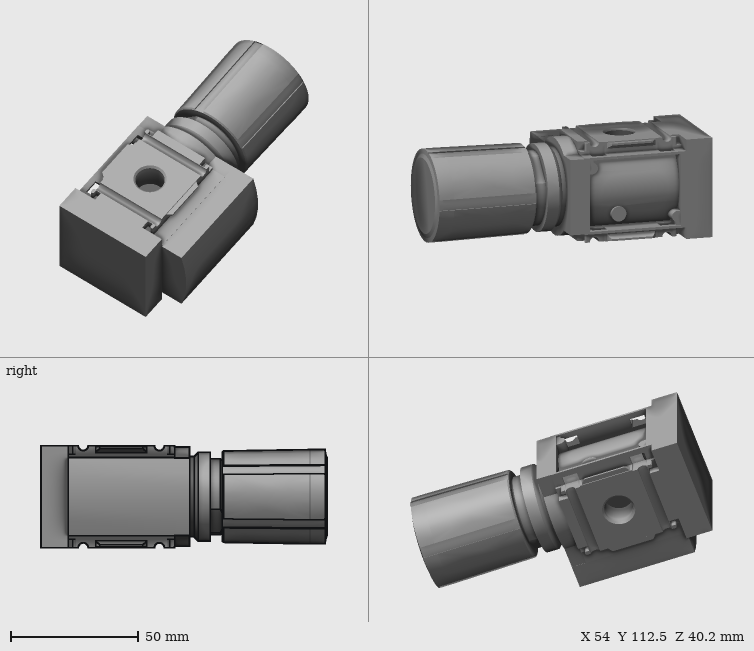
import cadquery as cq


LENGTH = 112.5
HEIGHT = 40.2
WIDTH = 54.0
HOUSING_WIDTH = 42.1
TOP_Y = 80.9
BOTTOM_Y = TOP_Y - LENGTH
HALF_HEIGHT = HEIGHT / 2
SIDE_X = HOUSING_WIDTH / 2

BODY_HALF_Y = 20.9
FLANGE_TOP_Y = 26.9
FLANGE_HALF_Z = 15.2
FLANGE_DRUM_R = 19.6
PLATE_HALF_Z = 15.4
WINDOW_HALF_Y = 18.8
WINDOW_HALF_Z = 14.4
CORE_R = 18.3

BOSS_R = 3.0
BOSS_Y = 6.0
BOSS_Z = -8.7
BOSS_FACE_X = -18.2
CORNER_BOSS_R = 2.3
CORNER_BOSS_Y = 17.5
CORNER_BOSS_Z = 10.9
CORNER_BOSS_FACE_X = -20.3
CORNER_WEB_Y = 17.1

PAD_HALF_X = 15.2
GROOVE_Y = 15.0
GROOVE_R = 1.9
PORT_D = 11.5
PORT_MOUTH_D = 13.0
PORT_DEPTH = 11.3
NOTCH_FLOOR_Z = 16.8
NOTCH_WIDTH = 3.7
NOTCH_START_Y = 17.1
POST_WIDTH = 1.5
POST_END_Y = 19.0
WING_REACH = 2.0
WING_ROOT_HALF_Y = 10.0
WING_TIP_HALF_Y = 8.4
WING_ROOT_Z = 17.3
WING_BEND_Z = 18.0
WING_TIP_Z = 18.9
WING_TOP_Z = 19.7
WING_BEND_REACH = 0.7
SLOT_OUTER_X = -18.6
SLOT_INNER_X = -14.7
SLOT_NEAR_Y = 10.9
SLOT_FAR_Y = 17.1

COVER_HALF_Z = 15.3
COVER_EDGE_X = 30.6
COVER_CROWN_X = WIDTH - SIDE_X

COLLAR_R = 35.0 / 2
COLLAR_TOP_Y = 35.0
COLLAR_BOTTOM_Y = 30.3
LOWER_NECK_R = 31.6 / 2
LOWER_NECK_TOP_Y = 28.6
UPPER_NECK_R = 15.0
UPPER_NECK_CHAMFER = 0.8
WRENCH_FLAT_DISTANCE = 13.5
WRENCH_FLAT_ANGLE = 45.0

KNOB_BOTTOM_Y = 39.7
KNOB_BAND_Y = 74.0
KNOB_RIM_Y = 80.1
KNOB_RIM_STEP_Y = 80.3
KNOB_R = 18.6
KNOB_BOTTOM_R = 18.0
KNOB_RIM_STEP_R = 16.7
KNOB_FACE_R = 15.1
KNOB_CHAMFER = 0.6
FLUTE_COUNT = 5
FLUTE_WIDTH = 4.4
FLUTE_DEPTH = 0.6


def box(x0, x1, y0, y1, z0, z1):
    """Block between two opposite corners."""
    return cq.Workplane("XY").box(x1 - x0, y1 - y0, z1 - z0, centered=False).translate((x0, y0, z0))


def cylinder_y(radius, y0, y1):
    """Cylinder on the knob axis."""
    return cq.Workplane("XZ", origin=(0, y1, 0)).circle(radius).extrude(y1 - y0)


def revolve_y(profile):
    """Solid of revolution about the knob axis from (radius, y) points."""
    return cq.Workplane("XY").polyline(profile).close().revolve(360, (0, 0, 0), (0, 1, 0))


def make_frame():
    """End cap, body section and flange, with the drum that fills the flange's rounded sides."""
    cap = box(-SIDE_X, SIDE_X, BOTTOM_Y, -BODY_HALF_Y, -HALF_HEIGHT, HALF_HEIGHT)
    section = box(-SIDE_X, SIDE_X, -BODY_HALF_Y, BODY_HALF_Y, -PLATE_HALF_Z, PLATE_HALF_Z)
    flange = box(-SIDE_X, SIDE_X, BODY_HALF_Y, FLANGE_TOP_Y, -FLANGE_HALF_Z, FLANGE_HALF_Z)
    drum = cylinder_y(FLANGE_DRUM_R, BODY_HALF_Y, FLANGE_TOP_Y)
    return cap.union(section).union(flange).union(drum)


def make_window_cut():
    """Space between the side window and the cylindrical core behind it."""
    pocket = box(-SIDE_X, 0, -WINDOW_HALF_Y, WINDOW_HALF_Y, -WINDOW_HALF_Z, WINDOW_HALF_Z)
    return pocket.cut(cylinder_y(CORE_R, -WINDOW_HALF_Y, WINDOW_HALF_Y))


def make_corner_boss():
    """Rounded boss joined to the window's end wall, with a web up to the window's top wall."""
    length = -CORNER_BOSS_FACE_X
    round_end = (
        cq.Workplane("YZ", origin=(CORNER_BOSS_FACE_X, CORNER_BOSS_Y, CORNER_BOSS_Z))
        .circle(CORNER_BOSS_R).extrude(length)
    )
    root = box(CORNER_BOSS_FACE_X, 0, CORNER_BOSS_Y, WINDOW_HALF_Y,
               CORNER_BOSS_Z - CORNER_BOSS_R, WINDOW_HALF_Z)
    web = box(CORNER_BOSS_FACE_X, 0, CORNER_WEB_Y, WINDOW_HALF_Y, CORNER_BOSS_Z, WINDOW_HALF_Z)
    window = box(-SIDE_X, 0, -WINDOW_HALF_Y, WINDOW_HALF_Y, -WINDOW_HALF_Z, WINDOW_HALF_Z)
    return round_end.union(root).union(web).intersect(window)


def make_window_bosses():
    """One free-standing round boss and two corner bosses placed diagonally."""
    round_boss = (
        cq.Workplane("YZ", origin=(BOSS_FACE_X, BOSS_Y, BOSS_Z))
        .circle(BOSS_R).extrude(-BOSS_FACE_X)
    )
    corner_boss = make_corner_boss()
    opposite_boss = corner_boss.rotate((0, 0, 0), (1, 0, 0), 180)
    return round_boss.union(corner_boss).union(opposite_boss)


def make_corner_notch():
    """Notch at the (+X, +Y) pad corner, leaving a round-ended post along the pad's side."""
    notch = box(PAD_HALF_X - NOTCH_WIDTH, PAD_HALF_X, NOTCH_START_Y, BODY_HALF_Y,
                NOTCH_FLOOR_Z, HALF_HEIGHT)
    post_r = POST_WIDTH / 2
    post_x = PAD_HALF_X - post_r
    post = box(PAD_HALF_X - POST_WIDTH, PAD_HALF_X, NOTCH_START_Y, POST_END_Y - post_r,
               NOTCH_FLOOR_Z, HALF_HEIGHT)
    tip = (
        cq.Workplane("XY", origin=(post_x, POST_END_Y - post_r, NOTCH_FLOOR_Z))
        .circle(post_r).extrude(HALF_HEIGHT - NOTCH_FLOOR_Z)
    )
    return notch.cut(post).cut(tip)


def make_wing():
    """Tapered lip on the pad's +X side, undercut below and bevelled at both ends."""
    tip_x = PAD_HALF_X + WING_REACH
    section = (
        cq.Workplane("XZ", origin=(0, WING_ROOT_HALF_Y, 0))
        .polyline([
            (0, WING_ROOT_Z),
            (PAD_HALF_X, WING_ROOT_Z),
            (PAD_HALF_X + WING_BEND_REACH, WING_BEND_Z),
            (tip_x, WING_TIP_Z),
            (tip_x, WING_TOP_Z),
            (0, WING_TOP_Z),
        ]).close().extrude(2 * WING_ROOT_HALF_Y)
    )
    plan = (
        cq.Workplane("XY")
        .polyline([
            (0, -WING_ROOT_HALF_Y),
            (PAD_HALF_X, -WING_ROOT_HALF_Y),
            (tip_x, -WING_TIP_HALF_Y),
            (tip_x, WING_TIP_HALF_Y),
            (PAD_HALF_X, WING_ROOT_HALF_Y),
            (0, WING_ROOT_HALF_Y),
        ]).close().extrude(HALF_HEIGHT)
    )
    return section.intersect(plan)


def make_pad():
    """Raised pad on the +Z side with wings, two round grooves and four corner notches."""
    pad = box(-PAD_HALF_X, PAD_HALF_X, -BODY_HALF_Y, BODY_HALF_Y, WINDOW_HALF_Z, HALF_HEIGHT)
    wing = make_wing()
    pad = pad.union(wing).union(wing.mirror("YZ"))
    for groove_y in (-GROOVE_Y, GROOVE_Y):
        groove = (
            cq.Workplane("YZ", origin=(-PAD_HALF_X, groove_y, HALF_HEIGHT))
            .circle(GROOVE_R).extrude(2 * PAD_HALF_X)
        )
        pad = pad.cut(groove)
    notch_pair = make_corner_notch()
    notch_pair = notch_pair.union(notch_pair.mirror("YZ"))
    return pad.cut(notch_pair).cut(notch_pair.mirror("XZ"))


def make_port():
    """Blind port bore from the +Z pad with a 45 degree countersink."""
    mouth_depth = (PORT_MOUTH_D - PORT_D) / 2
    return (
        cq.Workplane("XZ")
        .polyline([
            (0, HALF_HEIGHT),
            (PORT_MOUTH_D / 2, HALF_HEIGHT),
            (PORT_D / 2, HALF_HEIGHT - mouth_depth),
            (PORT_D / 2, HALF_HEIGHT - PORT_DEPTH),
            (0, HALF_HEIGHT - PORT_DEPTH),
        ]).close().revolve(360, (0, 0, 0), (0, 1, 0))
    )


def make_plate_slots():
    """Two rectangular slots through the +Z plate, running slightly into the pad's side."""
    slot = box(SLOT_OUTER_X, SLOT_INNER_X, SLOT_NEAR_Y, SLOT_FAR_Y, WINDOW_HALF_Z, HALF_HEIGHT)
    return slot.union(slot.mirror("XZ"))


def make_cover():
    """Side cover with a gently curved outer face."""
    return (
        cq.Workplane("XZ", origin=(0, FLANGE_TOP_Y, 0))
        .moveTo(SIDE_X, -COVER_HALF_Z)
        .lineTo(COVER_EDGE_X, -COVER_HALF_Z)
        .threePointArc((COVER_CROWN_X, 0), (COVER_EDGE_X, COVER_HALF_Z))
        .lineTo(SIDE_X, COVER_HALF_Z)
        .close().extrude(FLANGE_TOP_Y + BODY_HALF_Y)
    )


def make_neck():
    """Stepped neck with a conical collar and a pair of wrench flats under the knob."""
    lower = revolve_y([
        (0, FLANGE_TOP_Y),
        (LOWER_NECK_R, FLANGE_TOP_Y),
        (LOWER_NECK_R, LOWER_NECK_TOP_Y),
        (COLLAR_R, COLLAR_BOTTOM_Y),
        (COLLAR_R, COLLAR_TOP_Y),
        (0, COLLAR_TOP_Y),
    ])
    upper = revolve_y([
        (0, COLLAR_TOP_Y),
        (UPPER_NECK_R, COLLAR_TOP_Y),
        (UPPER_NECK_R, KNOB_BOTTOM_Y - UPPER_NECK_CHAMFER),
        (UPPER_NECK_R - UPPER_NECK_CHAMFER, KNOB_BOTTOM_Y),
        (0, KNOB_BOTTOM_Y),
    ])
    between_flats = box(-WRENCH_FLAT_DISTANCE, WRENCH_FLAT_DISTANCE, COLLAR_TOP_Y, KNOB_BOTTOM_Y,
                        -UPPER_NECK_R, UPPER_NECK_R)
    between_flats = between_flats.rotate((0, 0, 0), (0, 1, 0), WRENCH_FLAT_ANGLE)
    return lower.union(upper.intersect(between_flats))


def make_housing():
    """Housing, ports, side cover and neck as one body; both Z sides are alike."""
    housing = make_frame().cut(make_window_cut()).union(make_window_bosses())
    pad = make_pad()
    slots = make_plate_slots()
    port = make_port()
    housing = housing.union(pad).union(pad.mirror("XY"))
    for feature in (slots, port):
        housing = housing.cut(feature).cut(feature.mirror("XY"))
    return housing.union(make_cover()).union(make_neck())


def make_knob():
    """Tapered knob whose five flutes leave a slightly smaller core showing between the grips."""
    grip = revolve_y([
        (0, KNOB_BOTTOM_Y),
        (KNOB_BOTTOM_R - KNOB_CHAMFER, KNOB_BOTTOM_Y),
        (KNOB_BOTTOM_R, KNOB_BOTTOM_Y + KNOB_CHAMFER),
        (KNOB_R, KNOB_BAND_Y),
        (KNOB_R, KNOB_RIM_Y),
        (KNOB_RIM_STEP_R, KNOB_RIM_STEP_Y),
        (KNOB_FACE_R, TOP_Y),
        (0, TOP_Y),
    ])
    core = revolve_y([
        (0, KNOB_BOTTOM_Y),
        (KNOB_BOTTOM_R - FLUTE_DEPTH, KNOB_BOTTOM_Y),
        (KNOB_R - FLUTE_DEPTH, KNOB_RIM_Y),
        (0, KNOB_RIM_Y),
    ])
    flute = box(-KNOB_R, -KNOB_FACE_R, KNOB_BOTTOM_Y, KNOB_RIM_Y, -FLUTE_WIDTH / 2, FLUTE_WIDTH / 2)
    flute = flute.cut(core)
    for index in range(FLUTE_COUNT):
        grip = grip.cut(flute.rotate((0, 0, 0), (0, 1, 0), index * 360 / FLUTE_COUNT))
    return grip


housing = make_housing()
knob = make_knob()

result = cq.Compound.makeCompound([housing.val(), knob.val()])